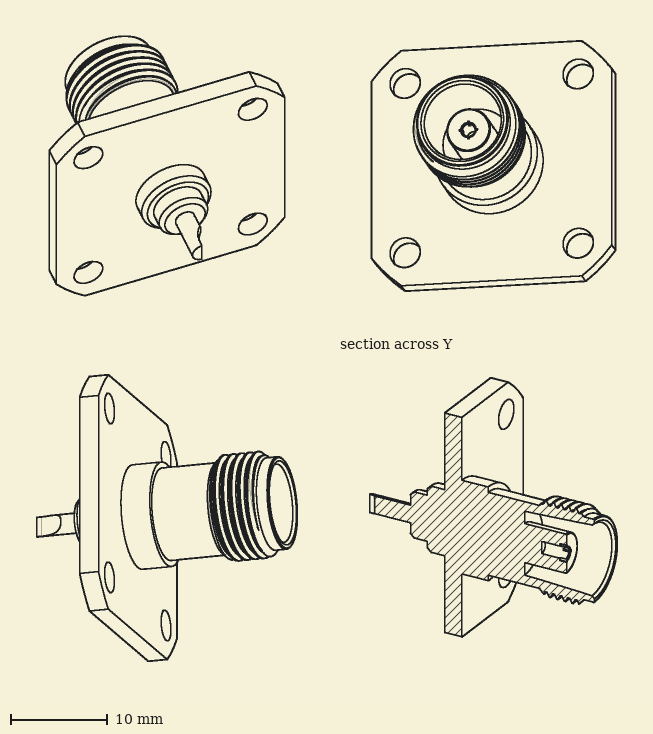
import cadquery as cq
import math


total_length = 26.95
thread_start = 1.27
thread_end = 6.63
collar_start = 12.72
flange_start = 15.87
flange_thickness = 2.08
flange_end = flange_start + flange_thickness
boss_end = 20.05
insulator_end = 22.07

barrel_radius = 4.82
collar_radius = 5.45
boss_radius = 3.85
insulator_radius = 2.7
pin_radius = 1.05
rear_chamfer = 0.45
mouth_chamfer = 0.1

flange_side = 25.4
flange_corner_radius = 15.87
hole_spacing = 18.27
hole_diameter = 3.18

thread_root_radius = 5.07
thread_crest_radius = 5.55
thread_crest_width = 0.15
thread_half_angle = 30.0
thread_pitch = 3.6 / 4
thread_turns = 7
ridge_start = 0.85
ridge_embed = 0.1

entry_radius = 4.37
bore_front_radius = 4.07
bore_floor_radius = 3.67
bore_depth = 8.35
post_radius = 2.3
post_chamfer = 0.1
post_face = 3.35
contact_funnel_radius = 0.8
contact_hole_radius = 0.67
contact_hole_depth = 2.96

contact_outer_radius = 0.95
contact_slot_width = 0.15
contact_slot_depth = 0.8

cutout_arc_radius = 3.53
cutout_tangent_x = 26.45


def revolve_about_axis(points):
    """Revolve a profile of (x, radius) points about the X axis."""
    return cq.Workplane("XY").polyline(points).close().revolve(360, (0, 0, 0), (1, 0, 0))


def rod(start, end, radius):
    """Cylinder on the X axis between two stations."""
    return cq.Workplane("YZ").workplane(offset=start).circle(radius).extrude(end - start)


def make_front_body():
    barrel = rod(0, flange_start, barrel_radius).faces("<X").chamfer(mouth_chamfer)
    return barrel.union(rod(collar_start, flange_start, collar_radius))


def make_flange():
    plate = (
        cq.Workplane("YZ")
        .workplane(offset=flange_start)
        .rect(flange_side, flange_side)
        .extrude(flange_thickness)
        .intersect(rod(flange_start, flange_end, flange_corner_radius))
    )
    return (
        plate.faces(">X")
        .workplane(origin=(flange_end, 0, 0))
        .rect(hole_spacing, hole_spacing, forConstruction=True)
        .vertices()
        .hole(hole_diameter)
    )


def make_rear_body():
    boss = rod(flange_end, boss_end, boss_radius).faces(">X").chamfer(rear_chamfer)
    insulator = rod(boss_end, insulator_end, insulator_radius).faces(">X").chamfer(rear_chamfer)
    return boss.union(insulator)


def make_pin():
    arc_rise = pin_radius
    arc_run = math.sqrt(cutout_arc_radius**2 - (cutout_arc_radius - arc_rise) ** 2)
    half_turn = math.acos(1 - arc_rise / cutout_arc_radius) / 2
    arc_middle = (
        cutout_tangent_x - cutout_arc_radius * math.sin(half_turn),
        cutout_arc_radius * (1 - math.cos(half_turn)),
    )
    cutout = (
        cq.Workplane("XY")
        .moveTo(total_length, 0)
        .lineTo(cutout_tangent_x, 0)
        .threePointArc(arc_middle, (cutout_tangent_x - arc_run, arc_rise))
        .lineTo(total_length, arc_rise)
        .close()
        .extrude(pin_radius, both=True)
    )
    return rod(insulator_end, total_length, pin_radius).cut(cutout)


def chamfered_sleeve(outer_radius):
    """Solid over the threaded length whose ends slope at 45 degrees down to the barrel."""
    rise = outer_radius - barrel_radius
    return revolve_about_axis(
        [
            (thread_start, 0),
            (thread_start, barrel_radius),
            (thread_start + rise, outer_radius),
            (thread_end - rise, outer_radius),
            (thread_end, barrel_radius),
            (thread_end, 0),
        ]
    )


def make_thread():
    base_radius = thread_root_radius - ridge_embed
    crest_half_width = thread_crest_width / 2
    flank_run = (thread_crest_radius - base_radius) * math.tan(math.radians(thread_half_angle))
    base_half_width = crest_half_width + flank_run
    helix = cq.Wire.makeHelix(thread_pitch, thread_pitch * thread_turns, base_radius)
    ridge = (
        cq.Workplane("XZ")
        .polyline(
            [
                (base_radius, -base_half_width),
                (thread_crest_radius, -crest_half_width),
                (thread_crest_radius, crest_half_width),
                (base_radius, base_half_width),
            ]
        )
        .close()
        .sweep(cq.Workplane(obj=helix), isFrenet=True)
        .rotate((0, 0, 0), (0, 1, 0), 90)
        .translate((ridge_start, 0, 0))
    )
    trimmed_ridge = ridge.intersect(chamfered_sleeve(thread_crest_radius + ridge_embed))
    return chamfered_sleeve(thread_root_radius).union(trimmed_ridge)


def make_contact_slots():
    slot_end = post_face + contact_slot_depth
    contact = rod(post_face, slot_end, contact_outer_radius)
    slot = (
        cq.Workplane("YZ")
        .workplane(offset=post_face)
        .rect(2 * contact_outer_radius + contact_slot_width, contact_slot_width)
        .extrude(contact_slot_depth)
    )
    cross = slot.union(slot.rotate((0, 0, 0), (1, 0, 0), 90))
    return cross.intersect(contact)


def make_socket():
    entry_depth = entry_radius - bore_front_radius
    funnel_depth = contact_funnel_radius - contact_hole_radius
    cavity = revolve_about_axis(
        [
            (0, 0),
            (0, entry_radius),
            (entry_depth, bore_front_radius),
            (bore_depth, bore_floor_radius),
            (bore_depth, 0),
        ]
    )
    post = rod(post_face, bore_depth, post_radius).faces("<X").chamfer(post_chamfer)
    contact_hole = revolve_about_axis(
        [
            (post_face, 0),
            (post_face, contact_funnel_radius),
            (post_face + funnel_depth, contact_hole_radius),
            (post_face + contact_hole_depth, contact_hole_radius),
            (post_face + contact_hole_depth, 0),
        ]
    )
    return cavity.cut(post).union(contact_hole).union(make_contact_slots())


result = (
    make_front_body()
    .union(make_thread())
    .union(make_flange())
    .union(make_rear_body())
    .union(make_pin())
    .cut(make_socket())
)